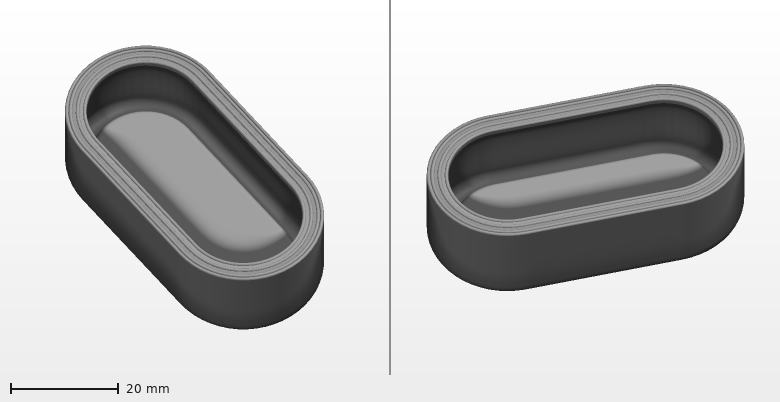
import cadquery as cq
import math

length = 60.0
width = 30.0
height = 17.8
straight_length = length - width
outer_radius = width / 2

wall = 1.0
bottom_round = 3.0
moat_outer_round = bottom_round - wall
moat_inner_round = 1.8
floor_edge_round = 1.2
floor_height = 4.2
floor_side_inset = bottom_round + moat_inner_round
floor_edge_inset = floor_side_inset + floor_edge_round
moat_inner_top = wall + moat_inner_round
floor_side_top = floor_height - floor_edge_round

bead_pair_width = 1.4
bead_width = bead_pair_width / 2
bead_height = 0.25
middle_bead_inset = 2.35
rim_height = height - bead_height

lip_width = 4.0
lip_thickness = 0.8
lip_bottom = rim_height - lip_thickness


def at(inset, z):
    """Section point given by its distance in from the outer side and its height."""
    return (outer_radius - inset, z)


def quarter_arc(section, center_inset, center_z, radius, inward, upward, end):
    """Add a quarter arc up to the end point; inward and upward (1 or -1) give its quadrant."""
    offset = radius * math.sqrt(0.5)
    middle = at(center_inset + inward * offset, center_z + upward * offset)
    return section.threePointArc(middle, end)


def bead(section, center_inset):
    """Add a bead that starts at the current point on the rim."""
    crest = at(center_inset, height)
    return section.threePointArc(crest, at(center_inset + bead_width / 2, rim_height))


def wall_section(plane):
    """Closed section from the middle of the tray to its outer side."""
    section = cq.Workplane(plane).lineTo(*at(bottom_round, 0))
    section = quarter_arc(section, bottom_round, bottom_round, bottom_round, -1, -1, at(0, bottom_round))
    section = section.lineTo(*at(0, rim_height))

    for center_inset in (bead_width / 2, bead_width * 3 / 2):
        section = bead(section, center_inset)
    for center_inset in (middle_bead_inset, lip_width - bead_width / 2):
        section = section.lineTo(*at(center_inset - bead_width / 2, rim_height))
        section = bead(section, center_inset)

    section = (
        section.lineTo(*at(lip_width, lip_bottom))
        .lineTo(*at(wall, lip_bottom))
        .lineTo(*at(wall, bottom_round))
    )

    moat_bottom = at(bottom_round, wall)
    moat_inner_end = at(floor_side_inset, moat_inner_top)
    section = quarter_arc(section, bottom_round, bottom_round, moat_outer_round, -1, -1, moat_bottom)
    section = quarter_arc(section, bottom_round, moat_inner_top, moat_inner_round, 1, -1, moat_inner_end)

    floor_edge = at(floor_edge_inset, floor_height)
    section = section.lineTo(*at(floor_side_inset, floor_side_top))
    section = quarter_arc(section, floor_edge_inset, floor_side_top, floor_edge_round, -1, 1, floor_edge)
    return section.lineTo(0, floor_height).close()


front_or_back = wall_section("YZ").extrude(straight_length / 2, both=True)
straights = front_or_back.union(front_or_back.mirror("XZ"))

half_turn = wall_section("XZ").revolve(180, (0, 0, 0), (0, 1, 0))
right_end = half_turn.rotate((0, 0, 0), (0, 0, 1), -90).translate((straight_length / 2, 0, 0))

result = straights.union(right_end).union(right_end.mirror("YZ"))